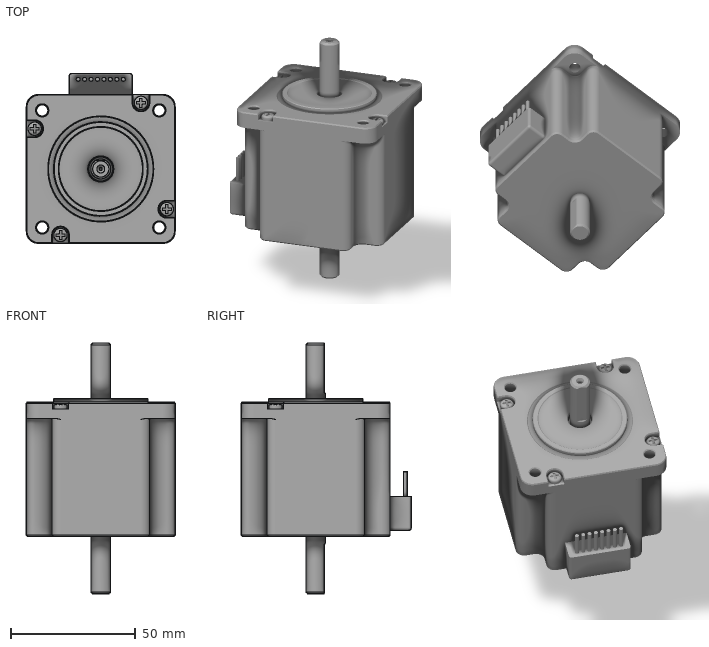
import cadquery as cq
import math

HOUSING_SIDE = 60.0
HOUSING_LENGTH = 54.2
HALF_SIDE = HOUSING_SIDE / 2
FLANGE_THICKNESS = 6.7
CORNER_RADIUS = 5.0
RIM_CHAMFER_HEIGHT = 0.55
RIM_CHAMFER_WIDTH = 0.3
BASE_CHAMFER = 0.6

RELIEF_WIDTH = 13.8
RELIEF_ROUND = 3.4
RELIEF_ROOF_FILLET = 0.3

MOUNT_PITCH = 47.14
MOUNT_DIAMETER = 4.5
MOUNT_CHAMFER = 0.4

PILOT_DIAMETER = 38.1
PILOT_HEIGHT = 1.5
PILOT_CHAMFER = 0.3
PILOT_RING_DIAMETER = 42.7
PILOT_RING_DEPTH = 0.3
PILOT_RECESS_DIAMETER = 34.2
PILOT_RECESS_DEPTH = 0.3
BORE_DIAMETER = 9.7
BORE_DEPTH = 3.0
BORE_CHAMFER = 0.4

SHAFT_DIAMETER = 8.0
SHAFT_TOP = 23.8
SHAFT_LENGTH = 101.0
SHAFT_BOTTOM = SHAFT_TOP - SHAFT_LENGTH
SHAFT_CHAMFER = 0.75
FLAT_DEPTH = 0.5
FLAT_LENGTH = 20.0
CENTRE_DIAMETER = 3.2
CENTRE_PILOT_DIAMETER = 1.2
CENTRE_DEPTH = 3.0

SCREW_ALONG_SIDE = 16.2
SCREW_FROM_AXIS = 26.6
POCKET_WIDTH = 6.5
POCKET_DEPTH = 2.8
SCREW_DIAMETER = 5.4
SCREW_HEIGHT = 2.1
SCREW_DOME_RADIUS = 8.0
SCREW_ROUND = 0.8
CROSS_LENGTH = 3.6
CROSS_WIDTH = 1.0
CROSS_CORE_DIAMETER = 1.6
CROSS_DEPTH = 0.8

CONNECTOR_WIDTH = 25.4
CONNECTOR_REACH = 8.5
CONNECTOR_TOP = -38.0
CONNECTOR_HEIGHT = 13.7
CONNECTOR_ROUND = 1.1
PIN_COUNT = 8
PIN_PITCH = 2.6
PIN_DIAMETER = 1.6
PIN_HEIGHT = 10.0
PIN_Y = HALF_SIDE + 6.1


def cylinder(diameter, bottom, top):
    """Cylinder on the shaft axis between two heights."""
    return cq.Workplane("XY").workplane(offset=bottom).circle(diameter / 2).extrude(top - bottom)


def around_axis(shape):
    """The shape and its three copies at quarter turns around the shaft axis."""
    copies = shape
    for turn in range(1, 4):
        copies = copies.union(shape.rotate((0, 0, 0), (0, 0, 1), 90 * turn))
    return copies


def corner_relief():
    """Cutter for the (+X, +Y) corner: a round channel that flares into both sides."""
    r = RELIEF_ROUND
    flare = HALF_SIDE - RELIEF_WIDTH
    wall = flare + r
    channel = wall + r
    lip = HALF_SIDE - r
    bulge = r * math.sqrt(0.5)
    height = HOUSING_LENGTH - FLANGE_THICKNESS
    inner_limit = HALF_SIDE - r / 10
    roof_corners = cq.selectors.BoxSelector((0, 0, -HOUSING_LENGTH), (inner_limit, inner_limit, 0))
    return (
        cq.Workplane("XY")
        .workplane(offset=-HOUSING_LENGTH)
        .moveTo(flare, HALF_SIDE)
        .threePointArc((flare + bulge, lip + bulge), (wall, lip))
        .lineTo(wall, channel)
        .threePointArc((channel - bulge, channel - bulge), (channel, wall))
        .lineTo(lip, wall)
        .threePointArc((lip + bulge, flare + bulge), (HALF_SIDE, flare))
        .lineTo(HALF_SIDE, HALF_SIDE)
        .close()
        .extrude(height)
        .faces(">Z")
        .edges(roof_corners)
        .fillet(RELIEF_ROOF_FILLET)
    )


def housing():
    body = (
        cq.Workplane("XY")
        .workplane(offset=-HOUSING_LENGTH)
        .rect(HOUSING_SIDE, HOUSING_SIDE)
        .extrude(HOUSING_LENGTH)
        .edges("|Z")
        .fillet(CORNER_RADIUS)
        .faces(">Z")
        .chamfer(RIM_CHAMFER_HEIGHT, RIM_CHAMFER_WIDTH)
    )
    body = body.cut(around_axis(corner_relief()))
    return body.faces("<Z").chamfer(BASE_CHAMFER)


def mounting_holes():
    points = cq.Workplane("XY").rect(MOUNT_PITCH, MOUNT_PITCH, forConstruction=True).vertices()
    holes = points.circle(MOUNT_DIAMETER / 2).extrude(-HOUSING_LENGTH)
    mouths = points.circle(MOUNT_DIAMETER / 2 + MOUNT_CHAMFER).extrude(-MOUNT_CHAMFER, taper=45)
    return holes.union(mouths)


def countersink(diameter, top, depth):
    """Cutter on the shaft axis with a 45 degree wall that narrows downwards."""
    return cq.Workplane("XY").workplane(offset=top).circle(diameter / 2).extrude(-depth, taper=45)


def add_pilot(body):
    ring = countersink(PILOT_RING_DIAMETER, 0, PILOT_RING_DEPTH)
    pilot = cylinder(PILOT_DIAMETER, -PILOT_RING_DEPTH, PILOT_HEIGHT).faces(">Z").chamfer(PILOT_CHAMFER)
    floor = PILOT_HEIGHT - PILOT_RECESS_DEPTH
    recess = countersink(PILOT_RECESS_DIAMETER, PILOT_HEIGHT, PILOT_RECESS_DEPTH)
    bore = cylinder(BORE_DIAMETER, floor - BORE_DEPTH, floor)
    mouth = countersink(BORE_DIAMETER + 2 * BORE_CHAMFER, floor, BORE_CHAMFER)
    return body.cut(ring).union(pilot).cut(recess).cut(bore).cut(mouth)


def shaft_flat(shaft_end, inward):
    """Cutter for a +Y flat that starts at a shaft end and runs out through a 45 degree shoulder."""
    flat_y = SHAFT_DIAMETER / 2 - FLAT_DEPTH
    outer_y = SHAFT_DIAMETER / 2 + FLAT_DEPTH
    flat_end = shaft_end + inward * FLAT_LENGTH
    shoulder_end = flat_end + inward * (outer_y - flat_y)
    return (
        cq.Workplane("YZ")
        .moveTo(flat_y, shaft_end)
        .lineTo(flat_y, flat_end)
        .lineTo(outer_y, shoulder_end)
        .lineTo(outer_y, shaft_end)
        .close()
        .extrude(SHAFT_DIAMETER / 2, both=True)
    )


def shaft():
    bar = cylinder(SHAFT_DIAMETER, SHAFT_BOTTOM, SHAFT_TOP).faces("<Z or >Z").chamfer(SHAFT_CHAMFER)
    bar = bar.cut(shaft_flat(SHAFT_TOP, -1)).cut(shaft_flat(SHAFT_BOTTOM, 1))

    rim = CENTRE_DIAMETER / 2
    drill = CENTRE_PILOT_DIAMETER / 2
    centre_hole = (
        cq.Workplane("XZ")
        .moveTo(0, SHAFT_TOP)
        .lineTo(rim, SHAFT_TOP)
        .lineTo(drill, SHAFT_TOP - (rim - drill) * math.sqrt(3))
        .lineTo(drill, SHAFT_TOP - CENTRE_DEPTH)
        .lineTo(0, SHAFT_TOP - CENTRE_DEPTH - drill / math.sqrt(3))
        .close()
        .revolve(360, (0, 0, 0), (0, 1, 0))
    )
    return bar.cut(centre_hole)


def screw_pocket():
    """Cutter on the -Y side: a U-shaped pocket open to the rim, with a chamfered mouth."""
    reach = POCKET_WIDTH

    def u_outline(radius):
        return (
            cq.Workplane("XY")
            .moveTo(-radius, -reach)
            .lineTo(-radius, 0)
            .threePointArc((0, radius), (radius, 0))
            .lineTo(radius, -reach)
            .close()
        )

    pocket = u_outline(POCKET_WIDTH / 2).extrude(-POCKET_DEPTH)
    mouth_taper = math.degrees(math.atan2(RIM_CHAMFER_WIDTH, RIM_CHAMFER_HEIGHT))
    mouth = u_outline(POCKET_WIDTH / 2 + RIM_CHAMFER_WIDTH).extrude(-RIM_CHAMFER_HEIGHT, taper=mouth_taper)
    return pocket.union(mouth).translate((-SCREW_ALONG_SIDE, -SCREW_FROM_AXIS, 0))


def screw_head():
    """Domed screw head with a cross recess, standing on the pocket floor."""
    radius = SCREW_DIAMETER / 2
    dome_rise = SCREW_DOME_RADIUS - math.sqrt(SCREW_DOME_RADIUS**2 - radius**2)
    edge_height = SCREW_HEIGHT - dome_rise
    half_radius_height = SCREW_HEIGHT - SCREW_DOME_RADIUS + math.sqrt(SCREW_DOME_RADIUS**2 - radius**2 / 4)
    head = (
        cq.Workplane("XZ")
        .lineTo(radius, 0)
        .lineTo(radius, edge_height)
        .threePointArc((radius / 2, half_radius_height), (0, SCREW_HEIGHT))
        .close()
        .revolve(360, (0, 0, 0), (0, 1, 0))
        .faces("%CYLINDER")
        .edges(">Z")
        .fillet(SCREW_ROUND)
    )
    recess_plane = cq.Workplane("XY").workplane(offset=SCREW_HEIGHT - CROSS_DEPTH)
    cross = (
        recess_plane.rect(CROSS_LENGTH, CROSS_WIDTH)
        .extrude(CROSS_DEPTH)
        .union(recess_plane.rect(CROSS_WIDTH, CROSS_LENGTH).extrude(CROSS_DEPTH))
        .union(recess_plane.circle(CROSS_CORE_DIAMETER / 2).extrude(CROSS_DEPTH))
    )
    return head.cut(cross).translate((-SCREW_ALONG_SIDE, -SCREW_FROM_AXIS, -POCKET_DEPTH))


def connector():
    block = (
        cq.Workplane("XY")
        .box(CONNECTOR_WIDTH, CONNECTOR_REACH, CONNECTOR_HEIGHT, centered=(True, False, False))
        .edges("(>Y and |Z) or (<Z and (not <Y))")
        .fillet(CONNECTOR_ROUND)
        .translate((0, HALF_SIDE, CONNECTOR_TOP - CONNECTOR_HEIGHT))
    )
    first_x = -PIN_PITCH * (PIN_COUNT - 1) / 2
    for index in range(PIN_COUNT):
        pin = (
            cq.Workplane("XY")
            .circle(PIN_DIAMETER / 2)
            .extrude(PIN_HEIGHT)
            .translate((first_x + index * PIN_PITCH, PIN_Y, CONNECTOR_TOP))
        )
        block = block.union(pin)
    return block


motor = add_pilot(housing().cut(mounting_holes()))
motor = motor.cut(around_axis(screw_pocket())).union(around_axis(screw_head()))
result = motor.union(connector()).union(shaft())